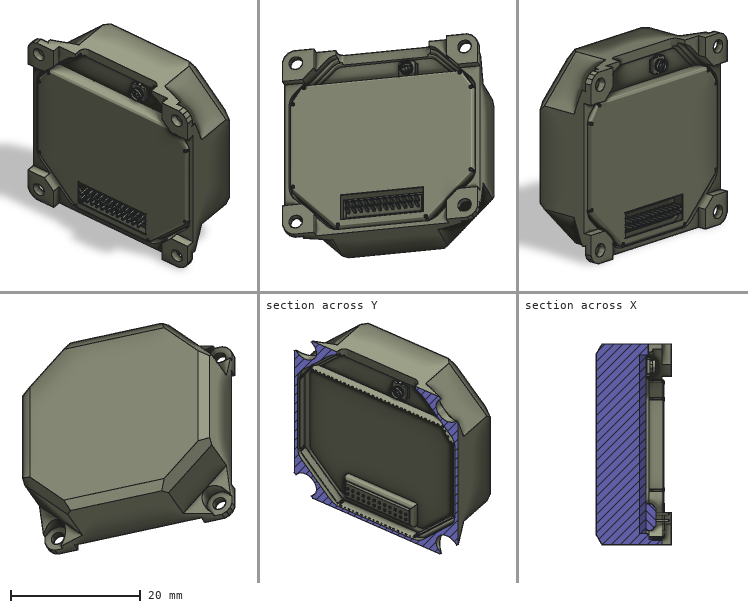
import cadquery as cq
import math

side = 31.0
depth = 11.6
half = side / 2
edge_chamfer_depth = 0.9
edge_chamfer_inset = 1.55
corner_half = 16.85
corner_chamfer_depth = 1.8
corner_chamfer_inset = 1.12
ramp_y = 3.6
ramp_end_y = 1.92
ramp_run = 2.98

lug_size = 5.0
lug_floor_y = 1.2
lug_hole_inset = 2.1
lug_hole_diameter = 2.1
lug_corner_sides = 16
screw_slot_radius = 2.05
front_y = 1.43

rim_half = 14.8
rim_diagonal = 22.82
rim_corner_radius = 2.8
rim_depth_y = 2.85
cover_ledge = 0.55
cover_ledge_radius = 0.5
seat_y = 3.4
board_ledge = 0.5
board_ledge_radius = 0.45
board_inset = cover_ledge + board_ledge
board_y = 3.9
board_thickness = 1.0

notch_half_width = 7.38
notch_floor_y = 3.53
notch_radius = 1.05

cover_y = 1.05
sheet = 0.22
bend_radius = 0.5
relief_diameter = 0.5
relief_slot_width = 0.37
relief_slot_length = 1.5
bend_side = 14.1
bend_corner = 6.98
bend_top = 9.55
bend_top_x = 12.35

header_z = -11.22
window_width = 13.15
window_height = 4.15
header_edge_radius = 0.6
header_shoulder_y = 2.67
header_face_y = 2.35
header_top_width = 11.97
header_top_height = 3.15
header_top_chamfer = 0.25
pin_columns = 12
pin_rows = 2
pin_pitch = 1.0
pin_width = 0.35
pin_tip_chamfer = 0.12
pin_tip_y = 0.28

coax_x = 3.47
coax_z = 12.0
coax_base_size = 2.6
coax_base_chamfer = 0.22
coax_base_y = 3.3
tab_width = 0.6
tab_length = 3.05
contact_y = 3.72
contact_left = 1.5
contact_right = 1.58
contact_height = 1.98
shell_tip_y = 2.42
shell_neck_y = 2.9
shell_lip_diameter = 2.0
shell_neck_diameter = 1.85
shell_bore_diameter = 1.7
insert_y = 2.9
insert_bore_diameter = 1.18
insert_slot_height = 0.68
contact_pin_diameter = 0.5
contact_pin_y = 2.67
contact_pin_tip_radius = 0.22


def plane_at(y, x=0.0, z=0.0):
    """XZ workplane at the given y; extruding by a negative length goes toward +Y."""
    return cq.Workplane("XZ", origin=(x, y, z))


def box_between(x0, x1, y0, y1, z0, z1):
    return cq.Workplane("XY").box(x1 - x0, y1 - y0, z1 - z0, centered=False).translate((x0, y0, z0))


def cavity_octagon(inset, y0, y1):
    """Octagonal prism with rounded corners, narrower than the cavity rim by the inset all round."""
    across = rim_half - inset
    short = rim_diagonal - inset * math.sqrt(2) - across
    points = [
        (across, -short), (across, short), (short, across), (-short, across),
        (-across, short), (-across, -short), (-short, -across), (short, -across),
    ]
    prism = plane_at(y0).polyline(points).close().extrude(y0 - y1)
    return prism.edges("|Y").fillet(rim_corner_radius - inset)


def add_step(cavity, inset, y0, y1, edge_radius):
    """Deepen the cavity by a narrower octagon and round the edge of the ledge this leaves."""
    cavity = cavity.union(cavity_octagon(inset, y0, y1))
    ledge = max(
        (face for face in cavity.faces("|Y").vals() if face.innerWires()),
        key=lambda face: face.Center().y,
    )
    edges = ledge.innerWires()[0].Edges()
    return cq.Workplane(obj=cavity.val().fillet(edge_radius, edges))


def corner_outline():
    """Square outline whose corners follow the polygons around the lug holes."""
    center = half - lug_hole_inset
    step = 2 * math.pi / lug_corner_sides
    radius = lug_hole_inset / math.cos(step / 2)
    points = []
    for quarter in range(4):
        turn = quarter * math.pi / 2
        middle = turn + math.pi / 4
        cx = math.copysign(center, math.cos(middle))
        cz = math.copysign(center, math.sin(middle))
        for facet in range(lug_corner_sides // 4):
            angle = turn + (facet + 0.5) * step
            points.append((cx + radius * math.cos(angle), cz + radius * math.sin(angle)))
    return plane_at(0).polyline(points).close().extrude(-depth)


def corner_cutter():
    """Everything outside the diagonal corner face, its back chamfer and its ramp."""
    reach = side
    slope = (ramp_y - ramp_end_y) / ramp_run
    profile = [
        (corner_half, ramp_y),
        (corner_half, depth - corner_chamfer_depth),
        (corner_half - corner_chamfer_inset, depth),
        (reach, depth),
        (reach, ramp_y - slope * (reach - corner_half)),
    ]
    return cq.Workplane("XY").polyline(profile).close().extrude(half, both=True)


def screw_slot():
    """Slot with a round end at the lug hole, open toward the housing corner."""
    hole_distance = (half - lug_hole_inset) * math.sqrt(2)
    height = ramp_y - lug_floor_y
    round_end = plane_at(lug_floor_y, hole_distance).circle(screw_slot_radius).extrude(-height)
    mouth = box_between(
        hole_distance, side, lug_floor_y, ramp_y, -screw_slot_radius, screw_slot_radius
    )
    return round_end.union(mouth)


def make_shell():
    straight_depth = depth - edge_chamfer_depth
    taper = math.degrees(math.atan2(edge_chamfer_inset, edge_chamfer_depth))
    block = plane_at(0).rect(side, side).extrude(-straight_depth)
    block = block.faces(">Y").workplane().rect(side, side).extrude(edge_chamfer_depth, taper=taper)
    return block.intersect(corner_outline())


def cut_corners(body):
    for quarter in range(4):
        angle = 45 + 90 * quarter
        for cutter in (corner_cutter(), screw_slot()):
            body = body.cut(cutter.rotate((0, 0, 0), (0, 1, 0), angle))
    return body


def cut_front(body):
    """Leave the lugs standing in front of the main front face and drill them."""
    inner = half - lug_size
    body = body.cut(box_between(-inner, inner, 0, front_y, -half, half))
    body = body.cut(box_between(-half, half, 0, front_y, -inner, inner))
    spacing = side - 2 * lug_hole_inset
    holes = plane_at(0).rect(spacing, spacing, forConstruction=True).vertices()
    return body.cut(holes.circle(lug_hole_diameter / 2).extrude(-ramp_y))


def cut_cavity(body):
    board_back_y = board_y + board_thickness
    cavity = cavity_octagon(0, 0, rim_depth_y)
    cavity = add_step(cavity, cover_ledge, rim_depth_y, seat_y, cover_ledge_radius)
    cavity = add_step(cavity, board_inset, seat_y, board_back_y, board_ledge_radius)
    return body.cut(cavity)


def cut_notch(body):
    notch = box_between(
        -notch_half_width, notch_half_width, 0, notch_floor_y, rim_half - board_inset, half
    )
    return body.cut(notch.edges("|Z and >Y").fillet(notch_radius))


def bend_points():
    """Corners of the flat front of the cover, counter-clockwise."""
    right = [
        (bend_corner, -bend_side), (bend_side, -bend_corner),
        (bend_side, bend_corner), (bend_top_x, bend_top),
    ]
    return right + [(-x, z) for x, z in reversed(right)]


def cover_prism(offset, y0, y1):
    outline = plane_at(y0).polyline(bend_points()).close()
    return outline.offset2D(offset, "intersection").extrude(y0 - y1)


def bend_relief(before, corner, after):
    """Round hole at a corner of the flat front, with a slot running out between the flanges."""
    length = seat_y - cover_y
    x, z = corner
    out_x = 0.0
    out_z = 0.0
    for other_x, other_z in (before, after):
        distance = math.hypot(x - other_x, z - other_z)
        out_x += (x - other_x) / distance
        out_z += (z - other_z) / distance
    angle = math.degrees(math.atan2(out_z, out_x))
    hole = plane_at(cover_y, x, z).circle(relief_diameter / 2).extrude(-length)
    slot = box_between(
        0, relief_slot_length, cover_y, seat_y, -relief_slot_width / 2, relief_slot_width / 2
    )
    slot = slot.rotate((0, 0, 0), (0, 1, 0), -angle).translate((x, 0, z))
    return hole.union(slot)


def make_cover():
    inner_radius = bend_radius - sheet
    body = cover_prism(bend_radius, cover_y, seat_y).faces("<Y").edges().fillet(bend_radius)
    inside = cover_prism(inner_radius, cover_y + sheet, seat_y)
    body = body.cut(inside.faces("<Y").edges().fillet(inner_radius))
    window = plane_at(cover_y, 0, header_z).rect(window_width, window_height)
    body = body.cut(window.extrude(-sheet))
    corners = bend_points()
    for index, corner in enumerate(corners):
        following = corners[(index + 1) % len(corners)]
        body = body.cut(bend_relief(corners[index - 1], corner, following))
    return body


def make_housing():
    body = cut_corners(make_shell())
    body = cut_front(body)
    body = cut_cavity(body)
    body = cut_notch(body)
    return body.cut(cover_prism(bend_radius, 0, seat_y))


def make_board():
    return cavity_octagon(board_inset, board_y, board_y + board_thickness)


def make_header():
    base = plane_at(header_shoulder_y, 0, header_z).rect(window_width, window_height)
    base = base.extrude(header_shoulder_y - board_y).faces("<Y").edges().fillet(header_edge_radius)
    top = plane_at(header_face_y, 0, header_z).rect(header_top_width, header_top_height)
    top = top.extrude(header_face_y - board_y)
    top = top.faces("<Y").edges("|X").chamfer(header_top_chamfer)
    body = base.union(top)
    pin = plane_at(pin_tip_y).rect(pin_width, pin_width).extrude(pin_tip_y - board_y)
    pin = pin.faces("<Y").edges().chamfer(pin_tip_chamfer)
    for column in range(pin_columns):
        for row in range(pin_rows):
            x = (column - (pin_columns - 1) / 2) * pin_pitch
            z = header_z + (row - (pin_rows - 1) / 2) * pin_pitch
            body = body.union(pin.translate((x, 0, z)))
    return body


def coax_plane(y):
    return plane_at(y, coax_x, coax_z)


def make_coax_base():
    """Square base with two solder tabs and a slotted insert inside the shell."""
    base = coax_plane(coax_base_y).rect(coax_base_size, coax_base_size)
    base = base.extrude(coax_base_y - contact_y).edges("|Y").chamfer(coax_base_chamfer)
    tabs = coax_plane(coax_base_y).rect(tab_width, tab_length).extrude(coax_base_y - board_y)
    insert = coax_plane(insert_y).circle(shell_bore_diameter / 2).extrude(insert_y - coax_base_y)
    bore = coax_plane(insert_y).circle(insert_bore_diameter / 2).extrude(insert_y - coax_base_y)
    slot = coax_plane(insert_y).rect(shell_bore_diameter, insert_slot_height)
    slot = slot.extrude(insert_y - coax_base_y)
    return base.union(tabs).union(insert.cut(bore).cut(slot))


def make_coax_contact():
    """Contact plate between the base and the board."""
    return box_between(
        coax_x - contact_left, coax_x + contact_right, contact_y, board_y,
        coax_z - contact_height / 2, coax_z + contact_height / 2,
    )


def make_coax_shell():
    neck = coax_plane(shell_tip_y).circle(shell_neck_diameter / 2).extrude(shell_tip_y - coax_base_y)
    lip = coax_plane(shell_tip_y).circle(shell_lip_diameter / 2).extrude(shell_tip_y - shell_neck_y)
    bore = coax_plane(shell_tip_y).circle(shell_bore_diameter / 2).extrude(shell_tip_y - coax_base_y)
    return neck.union(lip).cut(bore)


def make_coax_pin():
    pin = coax_plane(contact_pin_y).circle(contact_pin_diameter / 2)
    pin = pin.extrude(contact_pin_y - coax_base_y)
    return pin.faces("<Y").edges().fillet(contact_pin_tip_radius)


housing = make_housing()
cover = make_cover()
board = make_board()
header = make_header()
coax_contact = make_coax_contact()
coax_base = make_coax_base().cut(coax_contact)
coax_shell = make_coax_shell()
coax_pin = make_coax_pin()

result = cq.Compound.makeCompound(
    [
        housing.val(), cover.val(), board.val(), header.val(),
        coax_base.val(), coax_contact.val(), coax_shell.val(), coax_pin.val(),
    ]
)